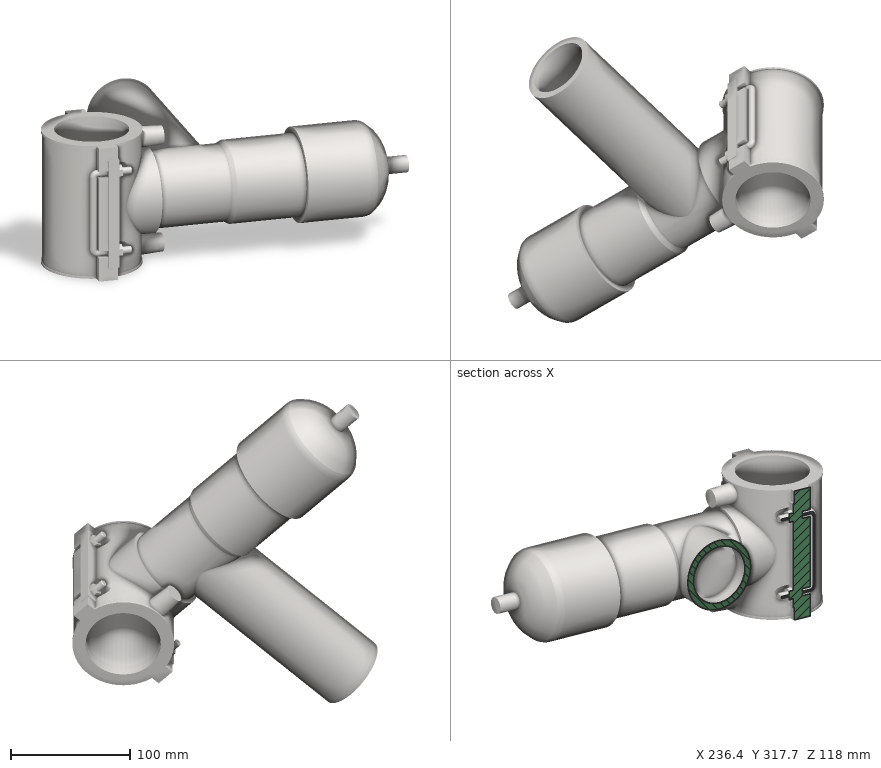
import cadquery as cq
import math


overall_length = 317.7
pipe_diameter = 63.0
shell_radius = 41.5
lip_radius = 42.5
lip_height = 2.0
clamp_length = 118.0

flange_half_width = 49.5
flange_thickness = 8.3
pad_half_width = 50.2
pad_thickness = 9.2
pad_length = 95.3

bolt_diameter = 6.0
bolt_radius = bolt_diameter / 2
bolt_x = 43.5
bend_radius = 3.2
leg_z = 35.3
leg_top = 21.5
leg_chamfer = 0.5
nut_across_flats = 10.0
nut_corner_diameter = nut_across_flats / math.cos(math.pi / 6)
nut_height = 3.8
nut_recess_diameter = 15.5

collar_radius = 36.5
collar_top = 50.8
neck_radius = 33.0
neck_top = 112.5
barrel_radius = 35.42
barrel_bottom = 117.0
cap_radius = 40.7
cap_bottom = 177.3
cap_side_top = 232.2
dome_radius = 39.0
dome_bottom = 238.5
dome_top = 255.7
spindle_radius = 7.3
spindle_top = overall_length - lip_radius

branch_diameter = 63.0
branch_bore_diameter = 50.5
branch_y = 82.5
branch_end_x = -186.2

boss_z = 47.5
boss_tip_y = 61.3
boss_tip_diameter = 16.0
boss_root_y = 35.0
boss_root_diameter = 18.7


def box_between(x_range, y_range, z_range):
    """Box given by its limits along each axis."""
    limits = (x_range, y_range, z_range)
    size = [high - low for low, high in limits]
    center = [(high + low) / 2 for low, high in limits]
    return cq.Workplane("XY").box(*size).translate(tuple(center))


def cylinder_along_y(diameter, x, z, y_low, y_high):
    """Cylinder parallel to Y."""
    return (
        cq.Workplane("XZ", origin=(x, y_low, z))
        .circle(diameter / 2)
        .extrude(y_low - y_high)
    )


def cylinder_along_z(radius, x, y, length):
    """Cylinder parallel to Z, centered on Z = 0."""
    return cq.Workplane("XY", origin=(x, y, -length / 2)).circle(radius).extrude(length)


def pipe_bore():
    """Space taken by the clamped pipe."""
    return cylinder_along_z(pipe_diameter / 2, 0, 0, clamp_length)


def half_shell(side):
    """Half of the clamp shell with its flanges, on the +Y (side = 1) or -Y (side = -1) half."""
    half_length = clamp_length / 2
    shell = cylinder_along_z(shell_radius, 0, 0, clamp_length)
    for lip_bottom in (-half_length, half_length - lip_height):
        lip = cq.Workplane("XY", origin=(0, 0, lip_bottom)).circle(lip_radius).extrude(lip_height)
        shell = shell.union(lip)

    flanges = box_between(
        (-flange_half_width, flange_half_width),
        (-flange_thickness, flange_thickness),
        (-half_length, half_length),
    )
    kept_half = box_between(
        (-flange_half_width, flange_half_width),
        sorted((0, side * lip_radius)),
        (-half_length, half_length),
    )
    return shell.union(flanges).intersect(kept_half)


def valve_tower():
    """Tower turned about Y, from inside the clamp to the tip of the spindle."""
    dome_run = dome_radius - spindle_radius
    dome_drop = dome_top - dome_bottom
    half_turn = math.atan2(dome_drop, dome_run)
    dome_arc_radius = dome_run / math.sin(2 * half_turn)
    dome_middle = (
        spindle_radius + dome_arc_radius * math.sin(half_turn),
        dome_top - dome_arc_radius * (1 - math.cos(half_turn)),
    )
    return (
        cq.Workplane("XY")
        .lineTo(collar_radius, 0)
        .lineTo(collar_radius, collar_top)
        .lineTo(neck_radius, collar_top)
        .lineTo(neck_radius, neck_top)
        .lineTo(barrel_radius, barrel_bottom)
        .lineTo(barrel_radius, cap_bottom)
        .lineTo(cap_radius, cap_bottom)
        .lineTo(cap_radius, cap_side_top)
        .tangentArcPoint((dome_radius, dome_bottom), relative=False)
        .threePointArc(dome_middle, (spindle_radius, dome_top))
        .lineTo(spindle_radius, spindle_top)
        .lineTo(0, spindle_top)
        .close()
        .revolve(360, (0, 0, 0), (0, 1, 0))
    )


def branch_pipe():
    """Branch from its open end to the tower axis."""
    return (
        cq.Workplane("YZ", origin=(branch_end_x, branch_y, 0))
        .circle(branch_diameter / 2)
        .extrude(-branch_end_x)
    )


def branch_bore():
    """Flat-bottomed bore that stops where the branch meets the tower neck."""
    return (
        cq.Workplane("YZ", origin=(branch_end_x, branch_y, 0))
        .circle(branch_bore_diameter / 2)
        .extrude(-neck_radius - branch_end_x)
    )


def terminal_boss(z):
    """Boss that tapers from the shell to its tip."""
    return (
        cq.Workplane("XY")
        .moveTo(0, boss_root_y)
        .lineTo(boss_root_diameter / 2, boss_root_y)
        .lineTo(boss_tip_diameter / 2, boss_tip_y)
        .lineTo(0, boss_tip_y)
        .close()
        .revolve(360, (0, 0, 0), (0, 1, 0))
        .translate((0, 0, z))
    )


def leg_positions():
    """X and Z of the four U-bolt legs."""
    return [(x, z) for x in (-bolt_x, bolt_x) for z in (-leg_z, leg_z)]


def upper_half():
    """Upper half of the clamp with its pads, nut recesses and terminal bosses."""
    half = half_shell(1)
    pads = box_between(
        (-pad_half_width, pad_half_width),
        (0, pad_thickness),
        (-pad_length / 2, pad_length / 2),
    )
    half = half.union(pads)
    for x, z in leg_positions():
        half = half.cut(cylinder_along_y(nut_recess_diameter, x, z, pad_thickness, shell_radius))
    for z in (-boss_z, boss_z):
        half = half.union(terminal_boss(z))
    return half


def bolt_leg(x, z):
    """Straight leg with a chamfered end and its nut on the pad."""
    leg = cylinder_along_y(bolt_diameter, x, z, -flange_thickness, leg_top)
    leg = leg.faces(">Y").chamfer(leg_chamfer)
    nut = (
        cq.Workplane("XZ", origin=(x, pad_thickness, z))
        .transformed(rotate=(0, 0, 90))
        .polygon(6, nut_corner_diameter)
        .extrude(-nut_height)
    )
    return leg.union(nut)


def bolt_bend(x):
    """Quarter bend from the upper leg down into the bar, turned about an axis along X."""
    return (
        cq.Workplane("XZ", origin=(x, -flange_thickness, leg_z))
        .circle(bolt_radius)
        .revolve(90, (-3.2, -bend_radius, 0), (3.2, -bend_radius, 0))
    )


def u_bolt(x):
    """Two legs joined by a bar that lies against the lower flange."""
    bar_length = 2 * (leg_z - bend_radius)
    bar = cylinder_along_z(bolt_radius, x, -flange_thickness - bend_radius, bar_length)
    upper_bend = bolt_bend(x)
    bolt = bar.union(upper_bend).union(upper_bend.mirror("XY"))
    for z in (-leg_z, leg_z):
        bolt = bolt.union(bolt_leg(x, z))
    return bolt


def lower_half():
    """Lower half of the clamp with a slot in the flange side for each U-bolt leg."""
    half = half_shell(-1)
    for x, z in leg_positions():
        outer_x = math.copysign(flange_half_width, x)
        slot = box_between(
            sorted((x, outer_x)),
            (-flange_thickness, 0),
            (z - bolt_radius, z + bolt_radius),
        )
        half = half.cut(slot)
    return half


def clamp_body():
    """Both clamp halves joined by their U-bolts, with the socket that holds the tower."""
    socket = cylinder_along_y(2 * collar_radius, 0, 0, 0, collar_top)
    body = lower_half()
    for x in (-bolt_x, bolt_x):
        body = body.union(u_bolt(x))
    body = body.union(upper_half(), clean=False)
    return body.cut(socket, clean=False).cut(pipe_bore(), clean=False)


def tower_body():
    """Valve tower and branch; the tower's foot is flush with the pipe bore."""
    return valve_tower().union(branch_pipe()).cut(branch_bore()).cut(pipe_bore())


clamp = clamp_body()
tower = tower_body()
result = cq.Compound.makeCompound([clamp.val(), tower.val()])